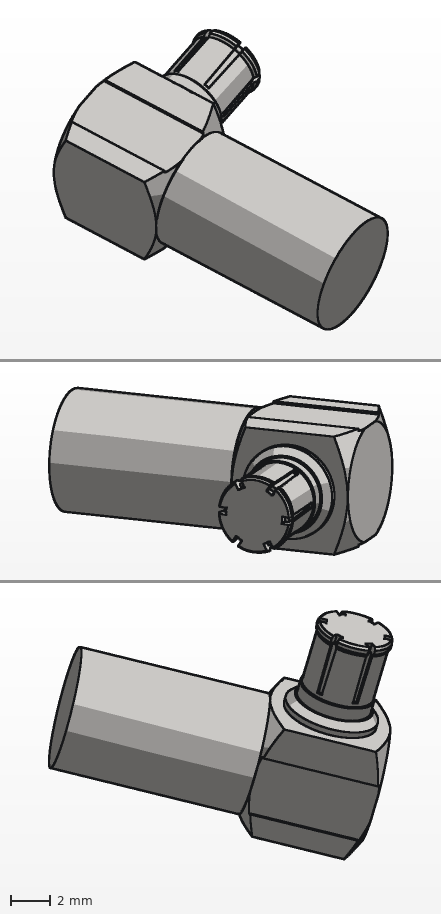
import cadquery as cq
import math

overall_length = 16.41

block_length = 6.4
block_side = 6.29
end_face_diameter = 6.24
end_chamfer_angle = 30.0

pocket_depth = 0.11
pocket_back_margin = 1.85
pocket_front_margin = 1.2

sleeve_diameter = 6.4
sleeve_length = overall_length - block_length

base_radius = 2.46
base_rim_length = 0.33
base_length = 0.74
base_top_radius = 2.07
collar_radius = 1.97
collar_end = 1.5
collar_chamfer = 0.05
tube_radius = 1.9
bead_radius = 2.0
plug_reach = 8.15
plug_length = plug_reach - block_side / 2
bead_length = 0.55
bead_flat_start = 0.16
bead_flat_end = 0.4

slot_count = 6
slot_angle = 27.0
slot_length = 3.3
slot_tip_width = 0.38
slot_root_width = 0.28
core_radius = 1.75
core_tip_radius = 1.55
core_tip_length = 0.45

plug_x = block_length / 2
plug_face_y = block_side / 2


def make_block():
    """Square bar with conical chamfers on the corners of both ends."""
    bar = cq.Workplane("YZ").rect(block_side, block_side).extrude(block_length)
    corner_radius = block_side / math.sqrt(2)
    end_radius = end_face_diameter / 2
    chamfer_length = (corner_radius - end_radius) * math.tan(math.radians(end_chamfer_angle))
    envelope = (
        cq.Workplane("XY")
        .moveTo(0, 0)
        .lineTo(0, end_radius)
        .lineTo(chamfer_length, corner_radius)
        .lineTo(block_length - chamfer_length, corner_radius)
        .lineTo(block_length, end_radius)
        .lineTo(block_length, 0)
        .close()
        .revolve(360, (0, 0, 0), (1, 0, 0))
    )
    return bar.intersect(envelope)


def make_pockets():
    """Two slabs that cut the shallow pockets, running the full length of the block."""
    pocket_width = block_side - pocket_back_margin - pocket_front_margin
    pocket_y = (pocket_front_margin - pocket_back_margin) / 2
    pocket_z = (block_side - pocket_depth) / 2
    slab = cq.Workplane("XY").box(block_length, pocket_width, pocket_depth)
    upper_slab = slab.translate((block_length / 2, pocket_y, pocket_z))
    lower_slab = slab.translate((block_length / 2, pocket_y, -pocket_z))
    return upper_slab.union(lower_slab)


def make_plug():
    """Turned base, collar and beaded tube, revolved about the Y axis."""
    profile = [
        (0, 0),
        (base_radius, 0),
        (base_radius, base_rim_length),
        (base_top_radius, base_length),
        (collar_radius, base_length),
        (collar_radius, collar_end - collar_chamfer),
        (collar_radius - collar_chamfer, collar_end),
        (tube_radius, collar_end),
        (tube_radius, plug_length - bead_length),
        (bead_radius, plug_length - bead_flat_end),
        (bead_radius, plug_length - bead_flat_start),
        (tube_radius, plug_length),
        (0, plug_length),
    ]
    return cq.Workplane("XY").polyline(profile).close().revolve(360, (0, 0, 0), (0, 1, 0))


def make_slot(angle):
    """Tapered slot, wider at the tip, that stops at the stepped core; angle is from +Z toward +X."""
    root_y = plug_length - slot_length
    wedge = (
        cq.Workplane("XY")
        .polyline([
            (-slot_root_width / 2, root_y),
            (slot_root_width / 2, root_y),
            (slot_tip_width / 2, plug_length),
            (-slot_tip_width / 2, plug_length),
        ])
        .close()
        .extrude(base_radius)
    )
    core = (
        cq.Workplane("XZ", origin=(0, plug_length, 0))
        .circle(core_tip_radius)
        .extrude(core_tip_length)
        .faces("<Y")
        .workplane()
        .circle(core_radius)
        .extrude(slot_length - core_tip_length)
    )
    return wedge.cut(core).rotate((0, 0, 0), (0, 1, 0), angle)


def make_connector_body():
    plug = make_plug()
    for index in range(slot_count):
        plug = plug.cut(make_slot(slot_angle + index * 360 / slot_count))
    plug = plug.translate((plug_x, plug_face_y, 0))
    return make_block().cut(make_pockets()).union(plug)


def make_sleeve():
    return (
        cq.Workplane("YZ")
        .workplane(offset=block_length)
        .circle(sleeve_diameter / 2)
        .extrude(sleeve_length)
    )


connector_body = make_connector_body()
sleeve = make_sleeve()

result = cq.Compound.makeCompound([connector_body.val(), sleeve.val()])